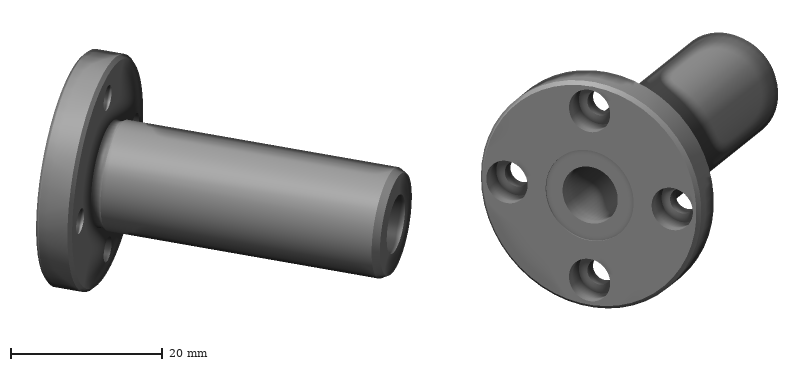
import cadquery as cq

length = 45.0
flange_diameter = 32.0
flange_thickness = 5.0
flange_chamfer = 0.5
sleeve_diameter = 15.0
bore_diameter = 8.0

recess_diameter = 12.8
recess_depth = 0.2

end_chamfer_length = 1.0
end_chamfer_depth = 0.55

groove_width = 1.4
groove_start_depth = 0.2
groove_middle_depth = 0.3

hole_count = 4
hole_circle_diameter = 24.0
hole_diameter = 3.5
counterbore_diameter = 6.0
counterbore_depth = 3.2


def make_body():
    """Revolve the half section, with its bore and face recess, about the X axis."""
    flange_radius = flange_diameter / 2
    sleeve_radius = sleeve_diameter / 2
    bore_radius = bore_diameter / 2
    recess_radius = recess_diameter / 2
    groove_end = flange_thickness + groove_width
    groove_middle = flange_thickness + groove_width / 2
    half_section = (
        cq.Workplane("XY")
        .moveTo(recess_depth, bore_radius)
        .lineTo(recess_depth, recess_radius)
        .lineTo(0, recess_radius)
        .lineTo(0, flange_radius - flange_chamfer)
        .lineTo(flange_chamfer, flange_radius)
        .lineTo(flange_thickness - flange_chamfer, flange_radius)
        .lineTo(flange_thickness, flange_radius - flange_chamfer)
        .lineTo(flange_thickness, sleeve_radius - groove_start_depth)
        .threePointArc(
            (groove_middle, sleeve_radius - groove_middle_depth),
            (groove_end, sleeve_radius),
        )
        .lineTo(length - end_chamfer_length, sleeve_radius)
        .lineTo(length, sleeve_radius - end_chamfer_depth)
        .lineTo(length, bore_radius)
        .close()
    )
    return half_section.revolve(360, (0, 0, 0), (1, 0, 0))


def cut_mounting_holes(body):
    """Cut the counterbored holes, evenly spaced with one on the vertical axis."""
    return (
        body.faces("<X")
        .workplane(origin=(0, 0, 0))
        .polarArray(hole_circle_diameter / 2, 0, 360, hole_count)
        .cboreHole(hole_diameter, counterbore_diameter, counterbore_depth, flange_thickness)
    )


result = cut_mounting_holes(make_body())